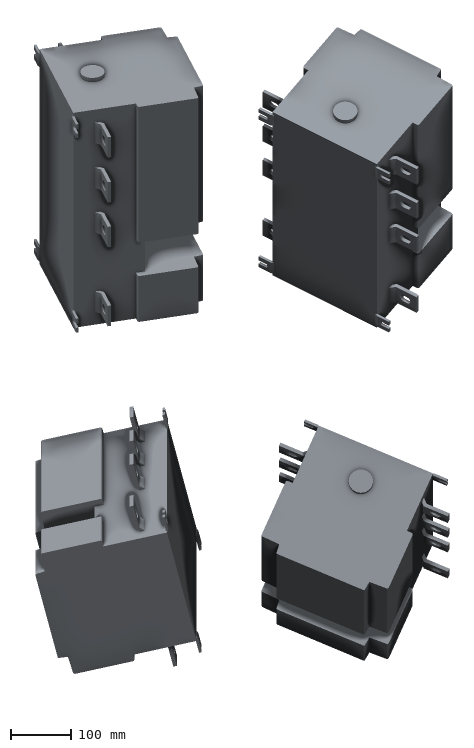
import cadquery as cq
import math

total_height = 429.0

housing_height = 421.0
rear_half_width = 103.5
wide_half_width = 115.0
front_half_width = 80.0
front_root_half_width = 81.5
wide_start_y = 108.0
shoulder_outer_y = 212.8
shoulder_inner_y = 214.0
front_y = 231.0
wide_corner_radius = 3.5
front_corner_radius = 2.0

recess_bottom_z = 89.5
recess_top_z = 155.0
recess_floor_y = 124.0
recess_middle_z = (recess_bottom_z + recess_top_z) / 2
recess_height = recess_top_z - recess_bottom_z

top_knob_radius = 20.0
top_knob_height = total_height - housing_height
top_knob_y = 62.0
recess_knob_radius = 11.0
recess_knob_length = 15.5

terminal_levels = (45.0, 200.0, 287.5, 375.5)
terminal_height = 40.0
terminal_tip_x = 152.7
terminal_thickness = 6.0
terminal_rear_y = 45.5
terminal_bend_x = 111.5
terminal_bend_radius = 4.5
terminal_bend_angle = math.radians(45)
terminal_hole_x = 130.0
terminal_hole_length = 20.5
terminal_hole_height = 14.5

foot_end_distance = 20.0
foot_height = 27.0
foot_tip_x = 129.0
foot_root_x = 100.5
foot_lip_x = 102.0
foot_bend_x = 106.5
foot_rear_y = -2.5
foot_root_y = -1.5
foot_front_y = 1.7
foot_slot_height = 8.5
foot_slot_end_x = 111.5

embed = 4.5


def both_sides(piece):
    return piece.union(piece.mirror("YZ"))


def make_housing():
    right_outline = [
        (rear_half_width, 0),
        (rear_half_width, wide_start_y),
        (wide_half_width, wide_start_y),
        (wide_half_width, shoulder_outer_y),
        (front_root_half_width, shoulder_inner_y),
        (front_half_width, front_y),
    ]
    left_outline = [(-x, y) for x, y in reversed(right_outline)]
    housing = cq.Workplane("XY").polyline(right_outline + left_outline).close().extrude(housing_height)
    housing = housing.edges("|Z and (>X or <X)").fillet(wide_corner_radius)
    housing = housing.faces(">Y").edges("|Z").fillet(front_corner_radius)
    return housing.cut(make_recess())


def make_recess():
    def band(half_width, start_y, end_y):
        block = cq.Workplane("XY").box(2 * half_width, end_y - start_y, recess_height)
        return block.translate((0, (start_y + end_y) / 2, recess_middle_z))

    front = band(wide_half_width, recess_floor_y, front_y)
    flanges = band(wide_half_width, wide_start_y, front_y).cut(band(rear_half_width, wide_start_y, front_y))
    return front.union(flanges)


def make_top_knob():
    base = cq.Workplane("XY", origin=(0, top_knob_y, housing_height - embed))
    return base.circle(top_knob_radius).extrude(top_knob_height + embed)


def make_recess_knob():
    base = cq.Workplane("XZ", origin=(0, recess_floor_y - embed, recess_middle_z))
    return base.circle(recess_knob_radius).extrude(-(recess_knob_length + embed))


def make_terminal(level):
    root_x = rear_half_width - embed
    slope = math.tan(terminal_bend_angle)
    front = terminal_rear_y + terminal_thickness
    front_bend_x = terminal_bend_x - terminal_thickness * math.tan(terminal_bend_angle / 2)
    strap = (
        cq.Workplane("XY")
        .polyline([
            (terminal_tip_x, terminal_rear_y),
            (terminal_bend_x, terminal_rear_y),
            (root_x, terminal_rear_y - slope * (terminal_bend_x - root_x)),
            (root_x, front - slope * (front_bend_x - root_x)),
            (front_bend_x, front),
            (terminal_tip_x, front),
        ])
        .close()
        .extrude(terminal_height / 2, both=True)
    )
    bend = cq.selectors.NearestToPointSelector((terminal_bend_x, terminal_rear_y, 0))
    strap = strap.edges(bend).fillet(terminal_bend_radius)
    hole = (
        cq.Workplane("XZ", origin=(terminal_hole_x, front, 0))
        .slot2D(terminal_hole_length, terminal_hole_height)
        .extrude(2 * terminal_thickness)
    )
    return strap.cut(hole).translate((0, 0, level))


def make_foot(level):
    tab = (
        cq.Workplane("XY")
        .polyline([
            (foot_tip_x, foot_rear_y),
            (foot_bend_x, foot_rear_y),
            (foot_lip_x, foot_root_y),
            (foot_root_x, 0),
            (foot_root_x, foot_front_y),
            (foot_tip_x, foot_front_y),
        ])
        .close()
        .extrude(foot_height / 2, both=True)
    )
    slot_length = 2 * (foot_tip_x - foot_slot_end_x)
    slot = (
        cq.Workplane("XZ", origin=(foot_tip_x, foot_front_y, 0))
        .slot2D(slot_length, foot_slot_height)
        .extrude(2 * (foot_front_y - foot_rear_y))
    )
    return tab.cut(slot).translate((0, 0, level))


result = make_housing().union(make_top_knob()).union(make_recess_knob())
for terminal_level in terminal_levels:
    result = result.union(both_sides(make_terminal(terminal_level)))
for foot_level in (foot_end_distance, housing_height - foot_end_distance):
    result = result.union(both_sides(make_foot(foot_level)))